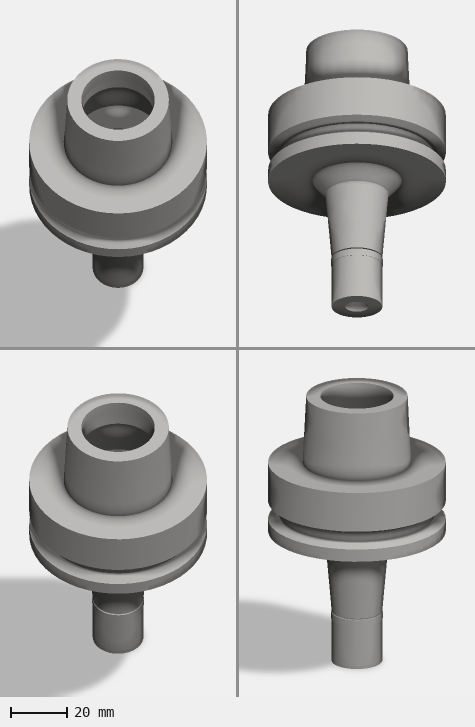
import cadquery as cq
import math


taper_length = 25.0
taper_base_radius = 19.25
taper_ratio = 1 / 10
taper_top_radius = taper_base_radius - taper_length * taper_ratio / 2

entry_radius = 13.0
entry_depth = 10.0
undercut_radius = 16.0
undercut_floor_z = 0.0

flange_radius = 31.5
flange_thickness = 26.0
groove_floor_radius = 27.5
groove_center_z = -18.0
groove_mouth_width = 6.75
groove_floor_width = 3.75
groove_bevel_height = (groove_mouth_width - groove_floor_width) / 2
groove_bevel_angle = 30.0
groove_bevel_depth = groove_bevel_height / math.tan(math.radians(groove_bevel_angle))

cone_height = 5.0
cone_top_radius = 16.0
nose_length = 25.0
nose_tip_radius = 9.0
nose_taper_angle = 5.0
nose_root_radius = nose_tip_radius + nose_length * math.tan(math.radians(nose_taper_angle))
cone_end_z = -flange_thickness - cone_height
nose_tip_z = cone_end_z - nose_length

holder_bore_radius = 6.0
spigot_radius = 8.0
socket_depth = nose_length

overall_length = 100.0
sleeve_bottom_z = taper_length - overall_length
sleeve_radius = 9.0
sleeve_bore_radius = 4.1
collar_radius = 9.15
collar_height = 2.5
collar_gap = 0.5
collar_top_z = nose_tip_z - collar_gap
collar_bottom_z = collar_top_z - collar_height
spigot_top_z = nose_tip_z + socket_depth


def revolve_profile(points):
    """Turn a closed (radius, z) outline around the Z axis."""
    return cq.Workplane("XZ").polyline(points).close().revolve(360, (0, 0, 0), (0, 1, 0))


def cylinder(radius, bottom_z, top_z):
    return cq.Workplane("XY").workplane(offset=bottom_z).circle(radius).extrude(top_z - bottom_z)


def gripper_groove():
    """Ring-shaped cutter with a bevel at each edge of the groove's mouth."""
    bevel_radius = flange_radius - groove_bevel_depth
    half_mouth = groove_mouth_width / 2
    half_floor = groove_floor_width / 2
    return revolve_profile([
        (groove_floor_radius, groove_center_z + half_floor),
        (bevel_radius, groove_center_z + half_floor),
        (flange_radius, groove_center_z + half_mouth),
        (flange_radius, groove_center_z - half_mouth),
        (bevel_radius, groove_center_z - half_floor),
        (groove_floor_radius, groove_center_z - half_floor),
    ])


def make_holder():
    body = revolve_profile([
        (0, taper_length),
        (taper_top_radius, taper_length),
        (taper_base_radius, 0),
        (flange_radius, 0),
        (flange_radius, -flange_thickness),
        (cone_top_radius, -flange_thickness),
        (nose_root_radius, cone_end_z),
        (nose_tip_radius, nose_tip_z),
        (0, nose_tip_z),
    ])
    entry_bottom_z = taper_length - entry_depth
    return (
        body.cut(gripper_groove())
        .cut(cylinder(entry_radius, entry_bottom_z, taper_length))
        .cut(cylinder(undercut_radius, undercut_floor_z, entry_bottom_z))
        .cut(cylinder(holder_bore_radius, nose_tip_z, undercut_floor_z))
        .cut(cylinder(spigot_radius, nose_tip_z, spigot_top_z))
    )


def make_sleeve():
    return revolve_profile([
        (sleeve_bore_radius, spigot_top_z),
        (spigot_radius, spigot_top_z),
        (spigot_radius, collar_top_z),
        (collar_radius, collar_top_z),
        (collar_radius, collar_bottom_z),
        (sleeve_radius, collar_bottom_z),
        (sleeve_radius, sleeve_bottom_z),
        (sleeve_bore_radius, sleeve_bottom_z),
    ])


holder = make_holder()
sleeve = make_sleeve()

result = cq.Compound.makeCompound([holder.val(), sleeve.val()])